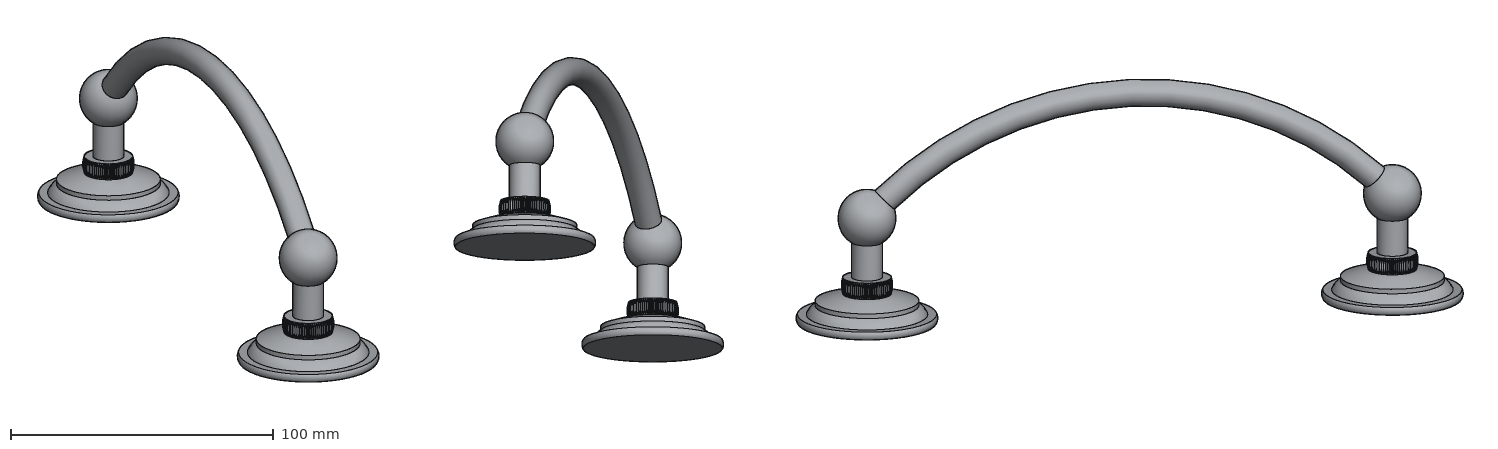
import cadquery as cq
import math

overall_length = 257.2
overall_height = 90.5
flange_radius = 27.0
post_spacing = overall_length - 2 * flange_radius

flange_height = 3.0
rim_inset = 0.5
shoulder_radius = 23.1
step_radius = 19.8
step_bottom = 6.7
step_top = 8.5
crown_edge_radius = 9.3
crown_top = 11.3
shoulder_bulge = 0.39
crown_bulge = 0.39

collar_top = 17.7
collar_bevel_height = 2.0
collar_bevel_depth = 0.5
collar_radius = 9.8
tooth_count = 72
tooth_depth = 0.65

post_radius = 6.0
ball_radius = 11.0
ball_height = 41.0
bar_radius = 5.1


def bulged_point(start, end, bulge):
    """Point beside the middle of a segment, offset to its right by the bulge."""
    run = end[0] - start[0]
    rise = end[1] - start[1]
    length = math.hypot(run, rise)
    middle_r = (start[0] + end[0]) / 2 + bulge * rise / length
    middle_z = (start[1] + end[1]) / 2 - bulge * run / length
    return (middle_r, middle_z)


def make_base():
    """Stepped dome with a flat bottom, turned about Z."""
    rim_radius = flange_radius - rim_inset
    shoulder_start = (shoulder_radius, flange_height)
    shoulder_end = (step_radius, step_bottom)
    crown_start = (step_radius, step_top)
    crown_end = (crown_edge_radius, crown_top)
    profile = (
        cq.Workplane("XZ")
        .lineTo(rim_radius, 0)
        .threePointArc((flange_radius, flange_height / 2), (rim_radius, flange_height))
        .lineTo(*shoulder_start)
        .threePointArc(bulged_point(shoulder_start, shoulder_end, shoulder_bulge), shoulder_end)
        .lineTo(*crown_start)
        .threePointArc(bulged_point(crown_start, crown_end, crown_bulge), crown_end)
        .lineTo(0, crown_top)
        .close()
    )
    return profile.revolve(360, (0, 0), (0, 1))


def make_collar():
    """Ring with both rims bevelled and straight V-shaped teeth around its side."""
    collar_height = collar_top - crown_top
    half_pitch = math.pi / tooth_count
    outline = []
    for i in range(2 * tooth_count):
        radius = collar_radius - tooth_depth * (i % 2)
        outline.append((radius * math.cos(i * half_pitch), radius * math.sin(i * half_pitch)))
    toothed = (
        cq.Workplane("XY", origin=(0, 0, crown_top))
        .polyline(outline)
        .close()
        .extrude(collar_height)
    )
    blank = (
        cq.Workplane("XY", origin=(0, 0, crown_top))
        .circle(collar_radius)
        .extrude(collar_height)
        .edges()
        .chamfer(collar_bevel_height, collar_bevel_depth)
    )
    return toothed.intersect(blank)


def make_post():
    """One complete support: base, collar, stem and ball."""
    stem = cq.Workplane("XY").circle(post_radius).extrude(ball_height)
    ball = cq.Workplane("XY").sphere(ball_radius).translate((0, 0, ball_height))
    return make_base().union(make_collar()).union(stem).union(ball)


def make_bar():
    """Round bar swept along an arc joining the two ball centres."""
    half_span = post_spacing / 2
    apex_height = overall_height - bar_radius
    rise = apex_height - ball_height
    arc_radius = (half_span**2 + rise**2) / (2 * rise)
    arc_center_height = apex_height - arc_radius
    path = (
        cq.Workplane("XZ")
        .moveTo(-half_span, ball_height)
        .threePointArc((0, apex_height), (half_span, ball_height))
    )
    start_tangent = (ball_height - arc_center_height, 0, half_span)
    start = cq.Plane(origin=(-half_span, 0, ball_height), xDir=(0, 1, 0), normal=start_tangent)
    return cq.Workplane(start).circle(bar_radius).sweep(path)


post = make_post()
result = make_bar()
for side in (-1, 1):
    result = result.union(post.translate((side * post_spacing / 2, 0, 0)))